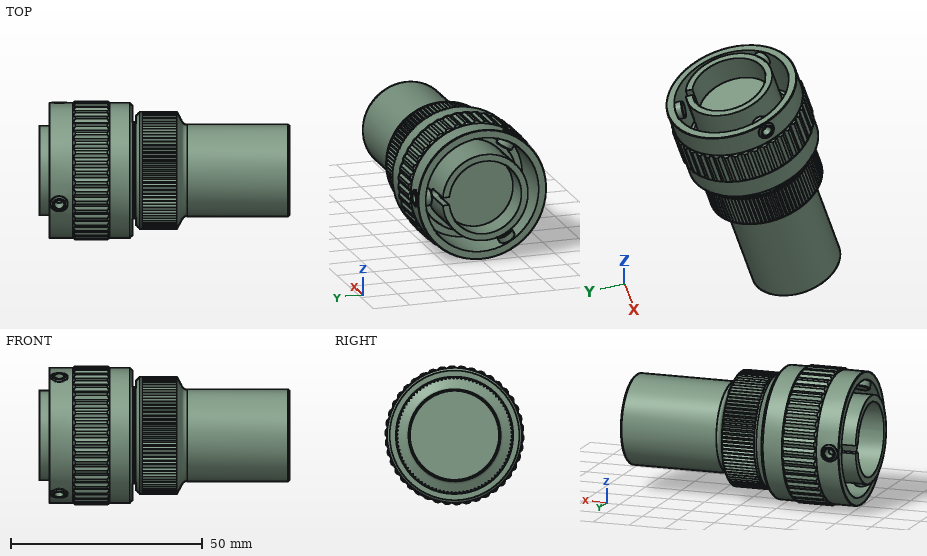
import cadquery as cq
import math


plug_radius = 11.75
plug_bore_radius = 9.95
plug_bore_depth = 7.0
key_slot_width = 2.15
key_slot_length = 9.0
key_slot_inner_radius = 9.88
plug_flange_radius = 13.35
plug_flange_x = 14.0

ring_start = 2.5
ring_end = 24.3
ring_radius = 17.68
ring_bore_radius = 15.55
ring_bore_floor_x = 16.0
ring_front_chamfer = 0.15
ring_rear_chamfer = 0.75

grip_start = 8.75
grip_end = 18.35
grip_count = 42
grip_pitch = 360 / grip_count
grip_root_radius = 17.55
grip_crest_radius = 18.08
grip_crest_width = 0.8
grip_chamfer_length = 0.6
grip_first_angle = grip_pitch / 4
grip_core_radius = 16.5

pin_count = 3
pin_x = 5.15
pin_diameter = 4.5
pin_inner_radius = 13.6
pin_outer_radius = 17.82
pin_outer_chamfer = 0.55
pin_inner_chamfer = 0.2
pin_hole_diameter = 2.6
pin_hole_floor_diameter = 1.5
pin_hole_depth = 2.0

neck_radius = 12.7
neck_step_x = 24.75
neck_step_radius = 12.3

nut_start = 25.2
nut_radius = 15.33
nut_front_chamfer = 1.05
nut_knurl_start = 26.9
nut_knurl_end = 35.9
nut_cone_slope = math.radians(62)
nut_fillet_radius = 1.5
nut_tail_radius = 11.95
nut_cone_end_radius = nut_tail_radius + nut_fillet_radius * (1 - math.cos(nut_cone_slope))
nut_cone_end_x = nut_knurl_end + (nut_radius - nut_cone_end_radius) / math.tan(nut_cone_slope)
nut_tail_end_x = nut_cone_end_x + nut_fillet_radius * math.sin(nut_cone_slope)
knurl_count = 90
knurl_pitch = 360 / knurl_count
knurl_root_radius = 14.8
knurl_first_angle = -knurl_pitch / 4

sleeve_radius = 12.06
sleeve_end = 65.3
sleeve_chamfer = 0.45


def revolve_about_x(points):
    """Turn an (x, radius) outline around the X axis."""
    outline = [(x, -radius) for x, radius in points]
    return cq.Workplane("XY").polyline(outline).close().revolve(360, (0, 0, 0), (1, 0, 0))


def ribbed_prism(count, rib_corners, first_angle, start, end):
    """Prism along X with evenly spaced ribs.

    Each rib is given by its (radius, angle from the rib's middle) corners, angles in degrees;
    rib middles are counted from -Y toward +Z.
    """
    points = []
    for i in range(count):
        middle = first_angle + i * 360 / count
        for radius, offset in rib_corners:
            angle = math.radians(middle + offset)
            points.append((-radius * math.cos(angle), radius * math.sin(angle)))
    return cq.Workplane("YZ", origin=(start, 0, 0)).polyline(points).close().extrude(end - start)


def make_body():
    """Turned body: plug, coupling ring, neck and the core under the nut's knurl."""
    return revolve_about_x([
        (plug_bore_depth, 0),
        (plug_bore_depth, plug_bore_radius),
        (0, plug_bore_radius),
        (0, plug_radius),
        (plug_flange_x, plug_radius),
        (plug_flange_x, plug_flange_radius),
        (ring_bore_floor_x, plug_flange_radius),
        (ring_bore_floor_x, ring_bore_radius),
        (ring_start, ring_bore_radius),
        (ring_start, ring_radius - ring_front_chamfer),
        (ring_start + ring_front_chamfer, ring_radius),
        (grip_start, ring_radius),
        (grip_start, grip_root_radius),
        (grip_end, grip_root_radius),
        (grip_end, ring_radius),
        (ring_end - ring_rear_chamfer, ring_radius),
        (ring_end, ring_radius - ring_rear_chamfer),
        (ring_end, neck_radius),
        (neck_step_x, neck_radius),
        (neck_step_x, neck_step_radius),
        (nut_start, neck_step_radius),
        (nut_start, nut_radius - nut_front_chamfer),
        (nut_start + nut_front_chamfer, nut_radius),
        (nut_knurl_start, nut_radius),
        (nut_knurl_start, knurl_root_radius),
        (nut_knurl_end, knurl_root_radius),
        (nut_knurl_end, 0),
    ])


def make_grip():
    """Flat-topped ribs of the coupling ring, bevelled at both ends."""
    half_crest = math.degrees(math.asin(grip_crest_width / 2 / grip_crest_radius))
    rib_corners = (
        (grip_crest_radius, -half_crest),
        (grip_crest_radius, half_crest),
        (grip_root_radius, grip_pitch / 2),
    )
    ribs = ribbed_prism(grip_count, rib_corners, grip_first_angle, grip_start, grip_end)
    envelope = revolve_about_x([
        (grip_start, grip_core_radius),
        (grip_start, grip_root_radius),
        (grip_start + grip_chamfer_length, grip_crest_radius),
        (grip_end - grip_chamfer_length, grip_crest_radius),
        (grip_end, grip_root_radius),
        (grip_end, grip_core_radius),
    ])
    return ribs.intersect(envelope)


def make_nut_knurl():
    """Fine straight knurl of the nut, with sharp crests and valleys."""
    rib_corners = ((nut_radius, 0), (knurl_root_radius, knurl_pitch / 2))
    return ribbed_prism(knurl_count, rib_corners, knurl_first_angle, nut_knurl_start, nut_knurl_end)


def make_nut_tail():
    """Rear cone of the nut, ending in a tangent concave fillet."""
    fillet_middle = (
        nut_tail_end_x - nut_fillet_radius * math.sin(nut_cone_slope / 2),
        -nut_tail_radius - nut_fillet_radius * (1 - math.cos(nut_cone_slope / 2)),
    )
    return (
        cq.Workplane("XY")
        .moveTo(nut_knurl_end, 0)
        .lineTo(nut_knurl_end, -nut_radius)
        .lineTo(nut_cone_end_x, -nut_cone_end_radius)
        .threePointArc(fillet_middle, (nut_tail_end_x, -nut_tail_radius))
        .lineTo(nut_tail_end_x, 0)
        .close()
        .revolve(360, (0, 0, 0), (1, 0, 0))
    )


def make_sleeve():
    """Rear sleeve, chamfered at its free end."""
    return revolve_about_x([
        (nut_tail_end_x, 0),
        (nut_tail_end_x, sleeve_radius),
        (sleeve_end - sleeve_chamfer, sleeve_radius),
        (sleeve_end, sleeve_radius - sleeve_chamfer),
        (sleeve_end, 0),
    ])


def pin_plane(radius):
    """Plane across the +Y pin at the given distance from the connector's axis, facing outward."""
    return cq.Plane(origin=(pin_x, radius, 0), xDir=(1, 0, 0), normal=(0, 1, 0))


def pin_cylinder(outer_radius):
    """Full-diameter cylinder from the pin's inner end out to the given distance from the axis."""
    length = outer_radius - pin_inner_radius
    return cq.Workplane(pin_plane(pin_inner_radius)).circle(pin_diameter / 2).extrude(length)


def make_pin():
    """Pin on +Y, chamfered at both ends, with a tapered blind hole in its outer end."""
    pin = pin_cylinder(pin_outer_radius)
    pin = pin.faces(">Y").chamfer(pin_outer_chamfer).faces("<Y").chamfer(pin_inner_chamfer)
    hole = (
        cq.Workplane(pin_plane(pin_outer_radius - pin_hole_depth))
        .circle(pin_hole_floor_diameter / 2)
        .workplane(offset=pin_hole_depth)
        .circle(pin_hole_diameter / 2)
        .loft()
    )
    return pin.cut(hole)


def add_pins(body):
    """Bayonet pins set in round seats through the coupling ring's wall."""
    pin = make_pin()
    seat = pin_cylinder(grip_crest_radius)
    for i in range(pin_count):
        angle = 360 / pin_count * i
        body = body.cut(seat.rotate((0, 0, 0), (1, 0, 0), angle))
        body = body.union(pin.rotate((0, 0, 0), (1, 0, 0), angle))
    return body


def make_key_slot():
    """Round-ended slot through the +Y wall of the plug, open at the mating face."""
    end_radius = key_slot_width / 2
    straight_length = key_slot_length - end_radius
    plane = cq.Plane(origin=(0, plug_radius, 0), xDir=(1, 0, 0), normal=(0, -1, 0))
    return (
        cq.Workplane(plane)
        .moveTo(0, -end_radius)
        .lineTo(straight_length, -end_radius)
        .threePointArc((key_slot_length, 0), (straight_length, end_radius))
        .lineTo(0, end_radius)
        .close()
        .extrude(plug_radius - key_slot_inner_radius)
    )


body = make_body()
for section in (make_grip(), make_nut_knurl(), make_nut_tail(), make_sleeve()):
    body = body.union(section)
result = add_pins(body).cut(make_key_slot())